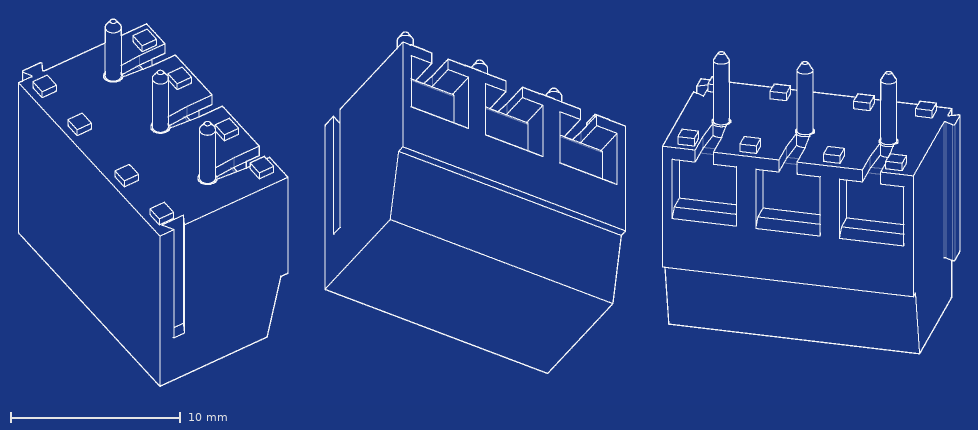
import cadquery as cq
import math

POLES = 3
PITCH = 5.08
LENGTH = POLES * PITCH
DEPTH = 9.0
HEIGHT = 12.5
OVERALL_HEIGHT = 17.0

STEP_Z = 4.5
STEP_DEPTH = 0.5
BASE_DEPTH = 7.53

OVERALL_LENGTH = 15.95
TONGUE_REACH = OVERALL_LENGTH - LENGTH
TONGUE_Y = 1.36
TONGUE_ROOT_WIDTH = 0.7
TONGUE_TIP_WIDTH = 1.48
TONGUE_TIP_FILLET = 0.08
TONGUE_ROOT_FILLET = 0.07
DOVETAIL_BOTTOM_Z = 3.5
DOVETAIL_GAP = 0.02

STUD_SIDE = 1.0
STUD_HEIGHT = 0.5
STUD_INSET_X = 1.31
STUD_INSET_Y = 0.99

PIN_Y = 5.0
PIN_RADIUS = 0.48
PIN_TIP_RADIUS = 0.19
PIN_TIP_LENGTH = 0.5
PIN_ROOT_RADIUS = 0.56
PIN_SHOULDER = PIN_ROOT_RADIUS - PIN_RADIUS
PIN_ROOT_DEPTH = 1.5

SLOT_WIDTH = 1.1
SLOT_END_WIDTH = 0.75
ROOF = 0.8
STRAIGHT_LENGTH = 1.78
TAPER_START_Y = DEPTH - STRAIGHT_LENGTH

CAVITY_SIDE = 3.91
CAVITY_TOP_Z = HEIGHT - ROOF
CAVITY_DEPTH = 1.7
CAVITY_BACK_Y = DEPTH - CAVITY_DEPTH
LEDGE_RADIUS = 0.25
LEDGE_Y = CAVITY_BACK_Y - LEDGE_RADIUS
MOUTH_CHAMFER = 0.51
CAVITY_FLOOR_Z = CAVITY_TOP_Z - CAVITY_SIDE + MOUTH_CHAMFER

pole_xs = [(pole + 0.5) * PITCH for pole in range(POLES)]


def make_shell():
    """Solid block with the stepped and sloped rear face."""
    side_outline = [
        (0, 0),
        (BASE_DEPTH, 0),
        (DEPTH - STEP_DEPTH, STEP_Z),
        (DEPTH, STEP_Z),
        (DEPTH, HEIGHT),
        (0, HEIGHT),
    ]
    return cq.Workplane("YZ").polyline(side_outline).close().extrude(LENGTH)


def make_dovetail(wall_x, clearance):
    """Dovetail bar that widens towards -X, starting at a wall; clearance enlarges it all round."""
    root = TONGUE_ROOT_WIDTH / 2 + clearance
    tip = TONGUE_TIP_WIDTH / 2 + clearance
    tip_x = wall_x - TONGUE_REACH - clearance
    outline = [
        (wall_x, TONGUE_Y - root),
        (wall_x, TONGUE_Y + root),
        (tip_x, TONGUE_Y + tip),
        (tip_x, TONGUE_Y - tip),
    ]
    return (
        cq.Workplane("XY", origin=(0, 0, DOVETAIL_BOTTOM_Z))
        .polyline(outline).close()
        .extrude(HEIGHT - DOVETAIL_BOTTOM_Z)
    )


def add_tongue(body):
    """Add the tongue to the left wall, with rounded tip corners and small fillets at its root."""
    tongue = make_dovetail(0, 0).edges("|Z and <X").fillet(TONGUE_TIP_FILLET)
    root_edges = cq.selectors.BoxSelector(
        (-TONGUE_ROOT_FILLET, TONGUE_Y - TONGUE_ROOT_WIDTH, DOVETAIL_BOTTOM_Z),
        (TONGUE_ROOT_FILLET, TONGUE_Y + TONGUE_ROOT_WIDTH, HEIGHT),
    )
    return body.union(tongue).edges("|Z").edges(root_edges).fillet(TONGUE_ROOT_FILLET)


def make_studs():
    """Two rows of square studs: one at each end and one on each line between poles."""
    inner_xs = [pole * PITCH for pole in range(1, POLES)]
    stud_xs = [STUD_INSET_X, *inner_xs, LENGTH - STUD_INSET_X]
    centers = [(x, y) for x in stud_xs for y in (STUD_INSET_Y, DEPTH - STUD_INSET_Y)]
    return (
        cq.Workplane("XY", origin=(0, 0, HEIGHT))
        .pushPoints(centers)
        .rect(STUD_SIDE, STUD_SIDE)
        .extrude(STUD_HEIGHT)
    )


def make_slot(x):
    """Slot through the roof, straight at the rear and tapering to the pin."""
    outline = [
        (x - SLOT_WIDTH / 2, DEPTH),
        (x - SLOT_WIDTH / 2, TAPER_START_Y),
        (x - SLOT_END_WIDTH / 2, PIN_Y),
        (x + SLOT_END_WIDTH / 2, PIN_Y),
        (x + SLOT_WIDTH / 2, TAPER_START_Y),
        (x + SLOT_WIDTH / 2, DEPTH),
    ]
    return cq.Workplane("XY", origin=(0, 0, CAVITY_TOP_Z)).polyline(outline).close().extrude(ROOF)


def make_cavity(x):
    """Rear cavity with a rounded ledge at the top of its back wall and a chamfered lower lip."""
    arc_offset = LEDGE_RADIUS * math.sqrt(0.5)
    arc_middle = (
        LEDGE_Y + arc_offset,
        CAVITY_TOP_Z - LEDGE_RADIUS + arc_offset,
    )
    return (
        cq.Workplane("YZ", origin=(x - CAVITY_SIDE / 2, 0, 0))
        .moveTo(LEDGE_Y, CAVITY_TOP_Z)
        .threePointArc(arc_middle, (CAVITY_BACK_Y, CAVITY_TOP_Z - LEDGE_RADIUS))
        .lineTo(CAVITY_BACK_Y, CAVITY_FLOOR_Z)
        .lineTo(DEPTH - MOUTH_CHAMFER, CAVITY_FLOOR_Z)
        .lineTo(DEPTH, CAVITY_FLOOR_Z - MOUTH_CHAMFER)
        .lineTo(DEPTH, CAVITY_TOP_Z)
        .close()
        .extrude(CAVITY_SIDE)
    )


def make_pin_hole(x):
    """Blind hole for the root of a pin."""
    hole_floor = (x, PIN_Y, HEIGHT - PIN_ROOT_DEPTH)
    return cq.Workplane("XY", origin=hole_floor).circle(PIN_ROOT_RADIUS).extrude(PIN_ROOT_DEPTH)


def make_housing():
    """Housing with its tongue, groove, studs and the openings of each pole."""
    body = add_tongue(make_shell()).union(make_studs())
    body = body.cut(make_dovetail(LENGTH, DOVETAIL_GAP))
    for x in pole_xs:
        body = body.cut(make_slot(x)).cut(make_cavity(x)).cut(make_pin_hole(x))
    return body


def make_pin(x):
    """Round pin with a wider root, a conical shoulder just below the top face and a conical tip."""
    profile = [
        (0, HEIGHT - PIN_ROOT_DEPTH),
        (PIN_ROOT_RADIUS, HEIGHT - PIN_ROOT_DEPTH),
        (PIN_ROOT_RADIUS, HEIGHT - PIN_SHOULDER),
        (PIN_RADIUS, HEIGHT),
        (PIN_RADIUS, OVERALL_HEIGHT - PIN_TIP_LENGTH),
        (PIN_TIP_RADIUS, OVERALL_HEIGHT),
        (0, OVERALL_HEIGHT),
    ]
    return (
        cq.Workplane("XZ", origin=(x, PIN_Y, 0))
        .polyline(profile).close()
        .revolve(360, (0, 0, 0), (0, 1, 0))
    )


housing = make_housing()
pins = [make_pin(x) for x in pole_xs]

result = cq.Compound.makeCompound([housing.val(), *[pin.val() for pin in pins]])